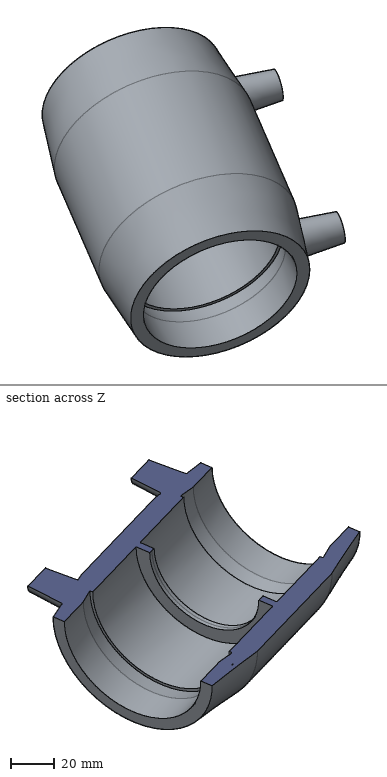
import cadquery as cq

length = 126.0
body_diameter = 97.0
end_diameter = 87.6
band_length = 63.5
socket_diameter = 75.0

stop_diameter = 60.0
stop_length = 3.8

groove_diameter = 78.1
groove_inner_x = 38.8
groove_outer_x = 46.9

terminal_tip_y = 65.0
terminal_root_y = 45.0
terminal_tip_diameter = 15.1
terminal_root_diameter = 18.0
terminal_spacing = 88.2


def make_sleeve():
    """Solid barrel with a straight middle band and two conical ends."""
    half_length = length / 2
    half_band = band_length / 2
    profile = (
        cq.Workplane("XY")
        .moveTo(-half_length, 0)
        .lineTo(-half_length, end_diameter / 2)
        .lineTo(-half_band, body_diameter / 2)
        .lineTo(half_band, body_diameter / 2)
        .lineTo(half_length, end_diameter / 2)
        .lineTo(half_length, 0)
        .close()
    )
    return profile.revolve(360, (0, 0, 0), (1, 0, 0))


def x_cylinder(diameter, cylinder_length):
    """Cylinder along X, centred on the origin."""
    return cq.Workplane("YZ").circle(diameter / 2).extrude(cylinder_length / 2, both=True)


def make_terminal(x):
    """Cone along Y, from inside the sleeve wall out to the terminal tip."""
    height = terminal_tip_y - terminal_root_y
    cone = cq.Solid.makeCone(
        terminal_root_diameter / 2,
        terminal_tip_diameter / 2,
        height,
        pnt=cq.Vector(x, terminal_root_y, 0),
        dir=cq.Vector(0, 1, 0),
    )
    return cq.Workplane(obj=cone)


def make_groove(side):
    """Ring of triangular section, deepest at its inner end."""
    socket_radius = socket_diameter / 2
    section = (
        cq.Workplane("XY")
        .moveTo(side * groove_outer_x, socket_radius)
        .lineTo(side * groove_inner_x, groove_diameter / 2)
        .lineTo(side * groove_inner_x, socket_radius)
        .close()
    )
    return section.revolve(360, (0, 0, 0), (1, 0, 0))


result = make_sleeve()
for side in (-1, 1):
    result = result.union(make_terminal(side * terminal_spacing / 2))

stop_ring = x_cylinder(socket_diameter, stop_length).cut(x_cylinder(stop_diameter, stop_length))
result = result.cut(x_cylinder(socket_diameter, length)).union(stop_ring)

for side in (-1, 1):
    result = result.cut(make_groove(side))